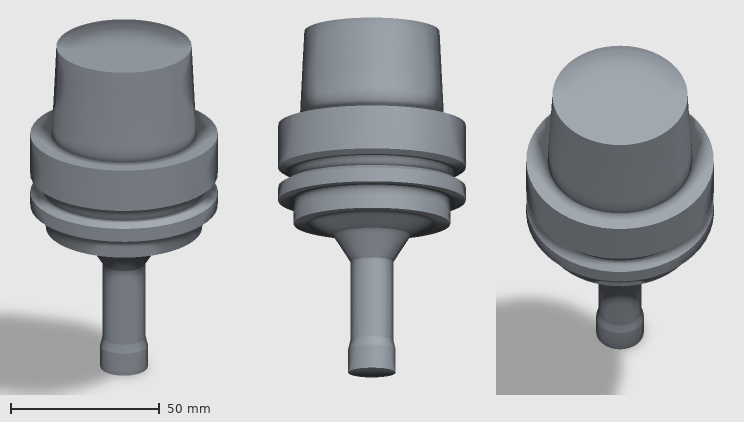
import cadquery as cq
import math


taper_length = 32.0
taper_ratio = 0.1
taper_gauge_diameter = 48.0
taper_gauge_height = 6.3

flange_diameter = 63.0
flange_width = 26.0
groove_floor_diameter = 55.0
groove_center_depth = 18.0
groove_floor_width = 3.75
groove_chamfer_height = 1.4
groove_chamfer_angle = 60.0

collar_diameter = 52.6
collar_length = 8.0

wide_cone_top_diameter = 42.0
wide_cone_length = 4.0
narrow_cone_top_diameter = 26.0
narrow_cone_length = 9.0

shank_diameter = 14.5
tip_diameter = 16.0
tip_length = 8.0
tip_cone_length = 3.0
overall_length = 117.0


def diameter_on_taper(height):
    return taper_gauge_diameter - taper_ratio * (height - taper_gauge_height)


def frustum(top_height, length, top_diameter, bottom_diameter):
    """Solid of revolution about Z, reaching down from top_height."""
    bottom_height = top_height - length
    profile = (
        cq.Workplane("XZ")
        .moveTo(0, bottom_height)
        .lineTo(bottom_diameter / 2, bottom_height)
        .lineTo(top_diameter / 2, top_height)
        .lineTo(0, top_height)
        .close()
    )
    return profile.revolve(360, (0, 0, 0), (0, 1, 0))


def cylinder(top_height, length, diameter):
    return frustum(top_height, length, diameter, diameter)


def make_taper():
    return frustum(taper_length, taper_length, diameter_on_taper(taper_length), diameter_on_taper(0))


def make_flange():
    rim_radius = flange_diameter / 2
    floor_radius = groove_floor_diameter / 2
    chamfer_radius = rim_radius - groove_chamfer_height * math.tan(math.radians(groove_chamfer_angle))
    floor_top = -groove_center_depth + groove_floor_width / 2
    floor_bottom = floor_top - groove_floor_width
    groove = (
        cq.Workplane("XZ")
        .moveTo(rim_radius, floor_top + groove_chamfer_height)
        .lineTo(chamfer_radius, floor_top)
        .lineTo(floor_radius, floor_top)
        .lineTo(floor_radius, floor_bottom)
        .lineTo(chamfer_radius, floor_bottom)
        .lineTo(rim_radius, floor_bottom - groove_chamfer_height)
        .close()
        .revolve(360, (0, 0, 0), (0, 1, 0))
    )
    return cylinder(0, flange_width, flange_diameter).cut(groove)


def make_transition(top_height):
    wide = frustum(top_height, wide_cone_length, wide_cone_top_diameter, narrow_cone_top_diameter)
    narrow = frustum(
        top_height - wide_cone_length, narrow_cone_length, narrow_cone_top_diameter, shank_diameter
    )
    return wide.union(narrow)


def make_shank(top_height, bottom_height):
    tip_top = bottom_height + tip_length
    shank_bottom = tip_top + tip_cone_length
    shank = cylinder(top_height, top_height - shank_bottom, shank_diameter)
    tip_cone = frustum(shank_bottom, tip_cone_length, shank_diameter, tip_diameter)
    tip = cylinder(tip_top, tip_length, tip_diameter)
    return shank.union(tip_cone).union(tip)


collar_bottom = -flange_width - collar_length
shank_top = collar_bottom - wide_cone_length - narrow_cone_length
tip_bottom = taper_length - overall_length

result = (
    make_taper()
    .union(make_flange())
    .union(cylinder(-flange_width, collar_length, collar_diameter))
    .union(make_transition(collar_bottom))
    .union(make_shank(shank_top, tip_bottom))
)